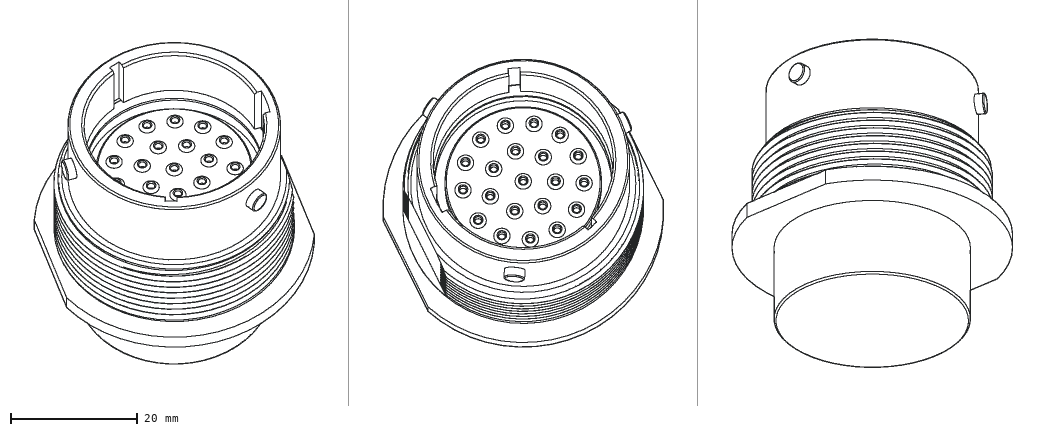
import cadquery as cq
import math

FLANGE_BOTTOM = 13.15
FLANGE_TOP = 15.7
THREAD_TOP = 28.65
TOTAL_HEIGHT = 41.83

TAIL_RADIUS = 15.55
SHELL_RADIUS = 16.85
END_CHAMFER = 0.3
FLANGE_RADIUS = 22.22
FLANGE_ACROSS_FLATS = 41.25

THREAD_RADIUS = 19.05
THREAD_DEPTH = 0.8
THREAD_TURNS = 9.25
THREAD_PITCH = (THREAD_TOP - FLANGE_TOP) / THREAD_TURNS
THREAD_RUNOUT_TURNS = 0.5
THREAD_START_ANGLE = 254.0
GROOVE_ROOT_WIDTH = 0.45
THREAD_CREST_WIDTH = 0.05
GROOVE_OVERCUT = 0.022
THREAD_CHAMFER_WIDTH = 1.25
THREAD_CHAMFER_HEIGHT = 1.55
THREAD_FLAT_Y = 17.3
THREAD_FLAT_FOOT = 0.2

BORE_RADIUS = 14.25
BORE_CHAMFER = 0.4
GLAND_TOP = 32.55
GLAND_BOTTOM = 30.3
GLAND_RADIUS = 15.65
SHELL_MID_WALL_RADIUS = (SHELL_RADIUS + GLAND_RADIUS) / 2
MOAT_RADIUS = 14.05
MOAT_DEPTH = 2.22
INSERT_RADIUS = 12.4
INSERT_CHAMFER = 0.22
INSERT_TOP = 30.4

RING_SECTION_RADIUS = 0.85
RING_SEATING = 0.05
RING_RADIUS = GLAND_RADIUS + RING_SEATING - RING_SECTION_RADIUS
RING_HEIGHT = GLAND_BOTTOM - RING_SEATING + RING_SECTION_RADIUS

KEYWAY_RADIUS = 15.4
KEYWAYS = [(90, 4.35), (200, 1.85), (340, 1.85)]

BAYONET_ANGLES = [30, 150, 270]
BAYONET_HEIGHT = 37.4
BAYONET_RADIUS = 1.65
BAYONET_REACH = 18.3
BAYONET_CHAMFER = 0.2

CONTACT_BASE_RADIUS = 1.3
CONTACT_TIP_RADIUS = 0.75
CONTACT_HEIGHT = 0.45
CONTACT_HOLE_RADIUS = 0.6
CONTACT_HOLE_CHAMFER = CONTACT_TIP_RADIUS - CONTACT_HOLE_RADIUS
CONTACT_HOLE_DEPTH = 1.35
INNER_ARC_RADIUS = 5.1
INNER_ARC_STEP = 52.3
INNER_ARC_PAIRS = 3
INNER_TOP_RADIUS = 5.8
OUTER_ARC_RADIUS = 9.65
OUTER_ARC_STEP = 27.2
OUTER_ARC_PAIRS = 6


def polar(radius, degrees):
    angle = math.radians(degrees)
    return (radius * math.cos(angle), radius * math.sin(angle))


def cylinder(radius, bottom, top):
    return cq.Workplane("XY").workplane(offset=bottom).circle(radius).extrude(top - bottom)


def revolve(points):
    """Turn a closed (radius, height) outline around the Z axis."""
    return cq.Workplane("XZ").polyline(points).close().revolve(360, (0, 0, 0), (0, 1, 0))


def make_tail():
    return cylinder(TAIL_RADIUS, 0, FLANGE_BOTTOM).faces("<Z").chamfer(END_CHAMFER)


def make_flange():
    disc = cylinder(FLANGE_RADIUS, FLANGE_BOTTOM, FLANGE_TOP)
    flats = cq.Workplane("XY").box(2 * FLANGE_RADIUS, FLANGE_ACROSS_FLATS, 2 * TOTAL_HEIGHT)
    return disc.intersect(flats)


def make_shell():
    return cylinder(SHELL_RADIUS, FLANGE_TOP, TOTAL_HEIGHT).faces(">Z").chamfer(END_CHAMFER)


def make_groove():
    """Sweep the thread groove along a right-hand helix, its flanks running on past the crests."""
    root_radius = THREAD_RADIUS - THREAD_DEPTH
    half_root = GROOVE_ROOT_WIDTH / 2
    half_mouth = (THREAD_PITCH - THREAD_CREST_WIDTH) / 2
    flank_slope = (half_mouth - half_root) / THREAD_DEPTH
    outside = THREAD_RADIUS + GROOVE_OVERCUT
    half_outside = half_mouth + GROOVE_OVERCUT * flank_slope
    length = (THREAD_TURNS + THREAD_RUNOUT_TURNS) * THREAD_PITCH
    helix = cq.Wire.makeHelix(THREAD_PITCH, length, root_radius)
    section = cq.Workplane("XZ").polyline([
        (root_radius, -half_root),
        (outside, -half_outside),
        (outside, half_outside),
        (root_radius, half_root),
    ]).close()
    groove = section.sweep(cq.Workplane(obj=helix), isFrenet=True)
    first_centre = FLANGE_TOP + THREAD_PITCH / 2
    return groove.rotate((0, 0, 0), (0, 0, 1), THREAD_START_ANGLE).translate((0, 0, first_centre))


def make_threaded_section():
    """Groove an overlong blank, trim its top to a cone and its back to a flat, then hollow it."""
    blank_top = THREAD_TOP + (THREAD_RUNOUT_TURNS + 2) * THREAD_PITCH
    blank = cylinder(THREAD_RADIUS, FLANGE_TOP, blank_top)
    top_trim = revolve([
        (0, THREAD_TOP),
        (THREAD_RADIUS - THREAD_CHAMFER_WIDTH, THREAD_TOP),
        (THREAD_RADIUS + THREAD_CHAMFER_WIDTH, THREAD_TOP - 2 * THREAD_CHAMFER_HEIGHT),
        (THREAD_RADIUS + THREAD_CHAMFER_WIDTH, blank_top),
        (0, blank_top),
    ])
    flat_trim = cq.Workplane("XY").box(
        2 * THREAD_RADIUS, THREAD_RADIUS, THREAD_TOP, centered=(True, False, False)
    ).translate((0, THREAD_FLAT_Y, FLANGE_TOP + THREAD_FLAT_FOOT))
    hollow = cylinder(SHELL_MID_WALL_RADIUS, FLANGE_TOP, blank_top)
    return blank.cut(make_groove()).cut(top_trim).cut(flat_trim).cut(hollow)


def make_socket():
    """Empty space inside the shell, down to the moat around the insert."""
    moat_floor = GLAND_BOTTOM - MOAT_DEPTH
    cavity = revolve([
        (0, INSERT_TOP),
        (INSERT_RADIUS - INSERT_CHAMFER, INSERT_TOP),
        (INSERT_RADIUS, INSERT_TOP - INSERT_CHAMFER),
        (INSERT_RADIUS, moat_floor),
        (MOAT_RADIUS, moat_floor),
        (MOAT_RADIUS, GLAND_BOTTOM),
        (GLAND_RADIUS, GLAND_BOTTOM),
        (GLAND_RADIUS, GLAND_TOP),
        (BORE_RADIUS, GLAND_TOP),
        (BORE_RADIUS, TOTAL_HEIGHT - BORE_CHAMFER),
        (BORE_RADIUS + BORE_CHAMFER, TOTAL_HEIGHT),
        (0, TOTAL_HEIGHT),
    ])
    keyway_limit = cylinder(KEYWAY_RADIUS, GLAND_TOP, TOTAL_HEIGHT)
    for angle, width in KEYWAYS:
        slot = cq.Workplane("XY").box(
            SHELL_RADIUS, width, TOTAL_HEIGHT, centered=(False, True, False)
        ).rotate((0, 0, 0), (0, 0, 1), angle)
        cavity = cavity.union(keyway_limit.intersect(slot))
    return cavity


def make_sealing_ring():
    return (
        cq.Workplane("XZ")
        .center(RING_RADIUS, RING_HEIGHT)
        .circle(RING_SECTION_RADIUS)
        .revolve(360, (-RING_RADIUS, 0, 0), (-RING_RADIUS, 1, 0))
    )


def make_bayonet_pin(angle):
    """Radial pin, rooted halfway through the shell wall."""
    pin = (
        cq.Workplane("YZ")
        .workplane(offset=SHELL_MID_WALL_RADIUS)
        .center(0, BAYONET_HEIGHT)
        .circle(BAYONET_RADIUS)
        .extrude(BAYONET_REACH - SHELL_MID_WALL_RADIUS)
        .faces(">X")
        .chamfer(BAYONET_CHAMFER)
    )
    return pin.rotate((0, 0, 0), (0, 0, 1), angle)


def contact_positions():
    """Both arcs are mirrored about the YZ plane; the outer one also has a contact on -Y."""
    spots = [(0, 0), (0, INNER_TOP_RADIUS)]
    for side in (-1, 1):
        for index in range(INNER_ARC_PAIRS):
            angle = -90 + side * (index + 0.5) * INNER_ARC_STEP
            spots.append(polar(INNER_ARC_RADIUS, angle))
    for index in range(-OUTER_ARC_PAIRS, OUTER_ARC_PAIRS + 1):
        spots.append(polar(OUTER_ARC_RADIUS, -90 + index * OUTER_ARC_STEP))
    return spots


def make_contact():
    tip = INSERT_TOP + CONTACT_HEIGHT
    return revolve([
        (0, tip - CONTACT_HOLE_DEPTH),
        (CONTACT_HOLE_RADIUS, tip - CONTACT_HOLE_DEPTH),
        (CONTACT_HOLE_RADIUS, tip - CONTACT_HOLE_CHAMFER),
        (CONTACT_TIP_RADIUS, tip),
        (CONTACT_BASE_RADIUS, INSERT_TOP),
        (CONTACT_BASE_RADIUS, tip - CONTACT_HOLE_DEPTH - CONTACT_HEIGHT),
        (0, tip - CONTACT_HOLE_DEPTH - CONTACT_HEIGHT),
    ])


def add_contacts(body):
    """Bore a seat for each contact, then fit the contacts in them."""
    positions = contact_positions()
    hole_floor = INSERT_TOP + CONTACT_HEIGHT - CONTACT_HOLE_DEPTH
    seats = (
        cq.Workplane("XY")
        .workplane(offset=hole_floor)
        .pushPoints(positions)
        .circle(CONTACT_BASE_RADIUS)
        .extrude(INSERT_TOP - hole_floor)
    )
    contact = make_contact().val()
    contacts = cq.Workplane("XY").pushPoints(positions).eachpoint(lambda place: contact.moved(place))
    return body.cut(seats).union(contacts)


body = make_tail().union(make_flange()).union(make_shell())
body = body.cut(make_socket())
body = body.union(make_sealing_ring())
for pin_angle in BAYONET_ANGLES:
    body = body.union(make_bayonet_pin(pin_angle))
body = add_contacts(body)
result = body.union(make_threaded_section()).solids()